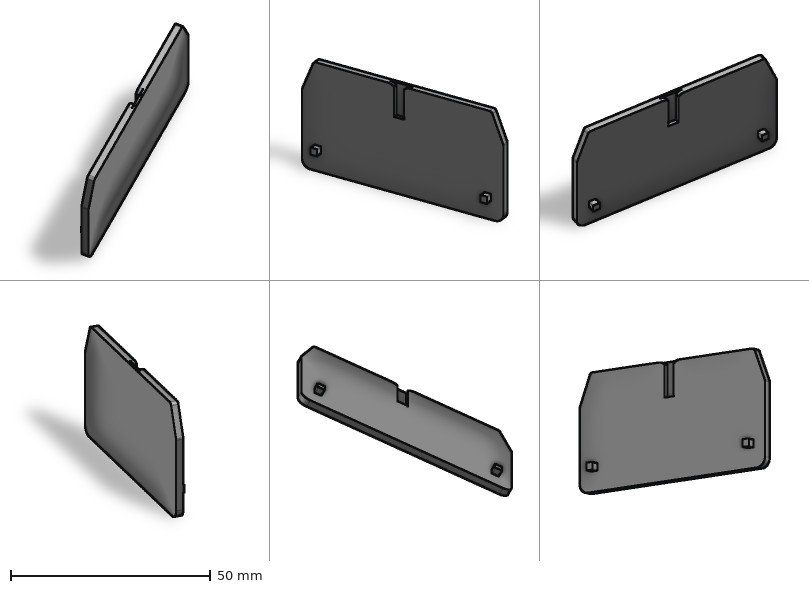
import cadquery as cq
import math

plate_thickness = 2.0
plate_width = 59.3
plate_height = 30.6
bevel_width = 3.5
bevel_height = 8.6
bevel_round = 1.0
bottom_round = 2.5

peg_size = 2.0
peg_length = 1.85
peg_round = 0.2
peg_offset = 25.0
peg_height = 6.3

slot_width = 3.0
slot_length = 9.2
slot_depth = 1.2
slot_center = 1.05
mouth_run = 1.6
mouth_radius = 2.5
lead_in_width = 0.15


def make_plate():
    """Plate with bevelled upper corners and rounded lower corners."""
    half_width = plate_width / 2
    bevel_start = plate_height - bevel_height
    outline = [
        (-half_width, 0),
        (half_width, 0),
        (half_width, bevel_start),
        (half_width - bevel_width, plate_height),
        (-half_width + bevel_width, plate_height),
        (-half_width, bevel_start),
    ]
    plate = cq.Workplane("YZ").polyline(outline).close().extrude(plate_thickness)
    plate = plate.edges("|X and <Z").fillet(bottom_round)
    upper_half = cq.selectors.BoxSelector(
        (-plate_thickness, -plate_width, plate_height / 2),
        (2 * plate_thickness, plate_width, 2 * plate_height),
    )
    return plate.edges("|X").edges(upper_half).fillet(bevel_round)


def make_peg(y):
    """Square peg with rounded long edges, standing out from the -X face."""
    peg = cq.Workplane("YZ").center(y, peg_height).rect(peg_size, peg_size).extrude(-peg_length)
    return peg.edges("|X").fillet(peg_round)


def make_slot():
    """Slot cutter whose mouth flares out along arcs tangent to the top edge.

    A short straight lead-in continues each arc down to the slot wall.
    """
    half_width = slot_width / 2
    bottom = plate_height - slot_length
    end_angle = math.asin(mouth_run / mouth_radius)
    arc_end = half_width + lead_in_width
    arc_start = arc_end + mouth_run
    arc_end_height = plate_height - mouth_radius * (1 - math.cos(end_angle))
    wall_top = arc_end_height - lead_in_width * math.tan(end_angle)
    arc_middle = arc_start - mouth_radius * math.sin(end_angle / 2)
    arc_middle_height = plate_height - mouth_radius * (1 - math.cos(end_angle / 2))
    return (
        cq.Workplane("YZ")
        .center(slot_center, 0)
        .moveTo(-half_width, bottom)
        .lineTo(half_width, bottom)
        .lineTo(half_width, wall_top)
        .lineTo(arc_end, arc_end_height)
        .threePointArc((arc_middle, arc_middle_height), (arc_start, plate_height))
        .lineTo(-arc_start, plate_height)
        .threePointArc((-arc_middle, arc_middle_height), (-arc_end, arc_end_height))
        .lineTo(-half_width, wall_top)
        .close()
        .extrude(slot_depth)
    )


result = make_plate().cut(make_slot())
for side in (-1, 1):
    result = result.union(make_peg(side * peg_offset))